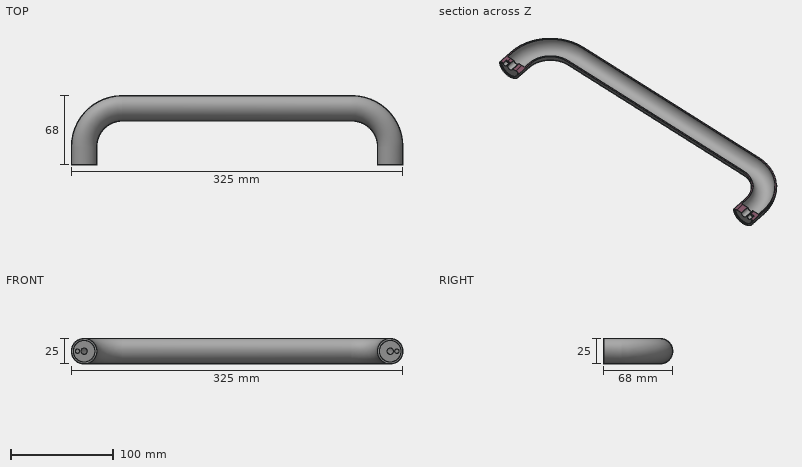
import cadquery as cq

length = 325.0
depth = 68.0
tube_diameter = 25.0
wall = 2.0
outer_bend_radius = 50.0

plug_recess = 1.0
plug_thickness = 9.8
screw_hole_diameter = 6.2
pin_hole_diameter = 4.2
pin_offset = 6.5
pin_hole_depth = 5.0

tube_radius = tube_diameter / 2
bore_diameter = tube_diameter - 2 * wall
bend_radius = outer_bend_radius - tube_radius
leg_x = length / 2 - tube_radius
grip_y = depth - tube_radius
leg_length = grip_y - bend_radius


def bent_rod(diameter):
    """Round rod following the handle's centre line, with its ends at Y = 0."""
    grip_half_length = leg_x - bend_radius
    path = (
        cq.Workplane("XY")
        .moveTo(-leg_x, 0)
        .lineTo(-leg_x, leg_length)
        .tangentArcPoint((-grip_half_length, grip_y), relative=False)
        .lineTo(grip_half_length, grip_y)
        .tangentArcPoint((leg_x, leg_length), relative=False)
        .lineTo(leg_x, 0)
    )
    return cq.Workplane("XZ", origin=(-leg_x, 0, 0)).circle(diameter / 2).sweep(path)


def rod_along_y(x, start_y, diameter, rod_length):
    """Cylinder running in +Y from start_y."""
    return cq.Workplane("XZ", origin=(x, start_y, 0)).circle(diameter / 2).extrude(-rod_length)


def end_plug(side):
    """Recessed plug with a central screw hole and a blind pin hole on the outer side."""
    x = side * leg_x
    plug = rod_along_y(x, plug_recess, bore_diameter, plug_thickness)
    screw_hole = rod_along_y(x, plug_recess, screw_hole_diameter, plug_thickness)
    pin_hole = rod_along_y(x + side * pin_offset, plug_recess, pin_hole_diameter, pin_hole_depth)
    return plug.cut(screw_hole).cut(pin_hole)


result = bent_rod(tube_diameter).cut(bent_rod(bore_diameter))
for side in (-1, 1):
    result = result.union(end_plug(side))